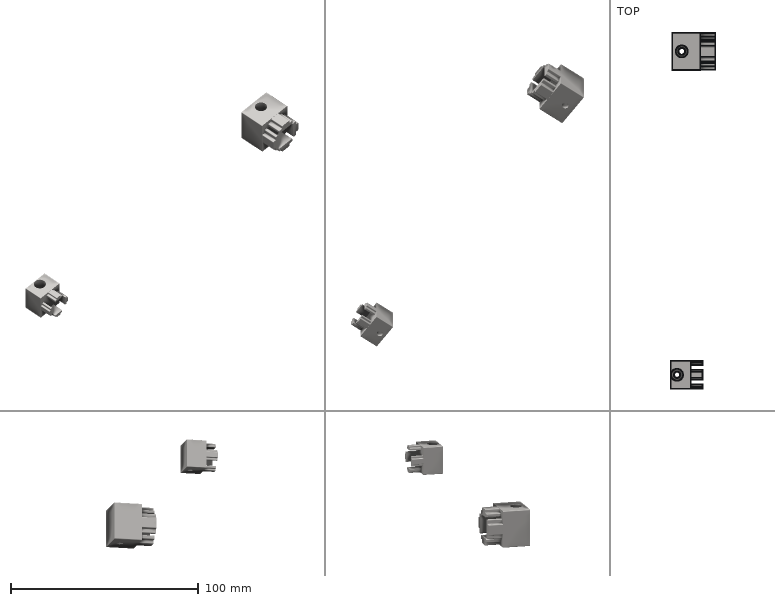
import cadquery as cq


COUNTERBORE_DIAMETER = 6.4
TONGUE_RECESS = 0.12
TONGUES_PER_BLOCK = 4
TURN_ANGLE = 360 / TONGUES_PER_BLOCK

LARGE_SIZE = 20.0
LARGE_LENGTH = 15.0
LARGE_REACH = 8.0
LARGE_RADIUS = 0.4
LARGE_SCREW_X = 5.1
LARGE_HOLE_DIAMETER = 3.5
LARGE_X = 0.8
LARGE_Y = 180.0

SMALL_SIZE = 15.0
SMALL_LENGTH = 10.8
SMALL_REACH = 6.2
SMALL_RADIUS = 0.25
SMALL_SCREW_X = 3.4
SMALL_HOLE_DIAMETER = 3.2
SMALL_Y = SMALL_SIZE / 2


def make_body(size, length, radius):
    """Square bar along X, centred on the X axis, with its four long edges rounded."""
    bar = cq.Workplane("YZ").rect(size, size).extrude(length)
    return bar.edges("|X").fillet(radius)


def make_tongue(outer, neck_width, head_width, shoulder, floor, radius, start, reach):
    """T-shaped tongue on the +Z side, rounded everywhere except at the floor of its head."""
    neck_height = outer - shoulder
    head_height = shoulder - floor
    section = cq.Workplane("YZ", origin=(start, 0, 0))
    head = section.center(0, floor + head_height / 2).rect(head_width, head_height).extrude(reach)
    neck = section.center(0, shoulder + neck_height / 2).rect(neck_width, neck_height).extrude(reach)
    tongue = head.union(neck)
    above_floor = cq.selectors.BoxSelector(
        (start, -outer, floor + head_height / 2),
        (start + reach, outer, outer + neck_height),
    )
    return tongue.edges("|X").edges(above_floor).fillet(radius)


def add_tongues(body, tongue):
    """Repeat the tongue around the axis of the bar, one on each side."""
    for turn in range(TONGUES_PER_BLOCK):
        body = body.union(tongue.rotate((0, 0, 0), (1, 0, 0), turn * TURN_ANGLE))
    return body


def cut_screw_hole(body, size, screw_x, hole_diameter):
    """Vertical through hole, counterbored from the top to half the height of the block."""
    top = cq.Workplane("XY", origin=(screw_x, 0, size / 2))
    hole = top.circle(hole_diameter / 2).extrude(-size)
    counterbore = top.circle(COUNTERBORE_DIAMETER / 2).extrude(-size / 2)
    return body.cut(hole).cut(counterbore)


def make_large_block():
    tongue = make_tongue(
        outer=LARGE_SIZE / 2 - TONGUE_RECESS,
        neck_width=5.8,
        head_width=10.6,
        shoulder=7.9,
        floor=5.8,
        radius=LARGE_RADIUS,
        start=LARGE_LENGTH,
        reach=LARGE_REACH,
    )
    floor_chamfer = 0.6
    tongue = tongue.faces("<Z").edges("|X").chamfer(floor_chamfer)
    block = add_tongues(make_body(LARGE_SIZE, LARGE_LENGTH, LARGE_RADIUS), tongue)
    block = cut_screw_hole(block, LARGE_SIZE, LARGE_SCREW_X, LARGE_HOLE_DIAMETER)
    return block.translate((LARGE_X, LARGE_Y, LARGE_SIZE / 2))


def make_small_block():
    tongue = make_tongue(
        outer=SMALL_SIZE / 2 - TONGUE_RECESS,
        neck_width=3.0,
        head_width=5.54,
        shoulder=6.3,
        floor=5.15,
        radius=SMALL_RADIUS,
        start=SMALL_LENGTH,
        reach=SMALL_REACH,
    )
    block = add_tongues(make_body(SMALL_SIZE, SMALL_LENGTH, SMALL_RADIUS), tongue)
    block = cut_screw_hole(block, SMALL_SIZE, SMALL_SCREW_X, SMALL_HOLE_DIAMETER)
    return block.translate((0, SMALL_Y, SMALL_SIZE / 2))


large_block = make_large_block()
small_block = make_small_block()

result = cq.Compound.makeCompound([large_block.val(), small_block.val()])